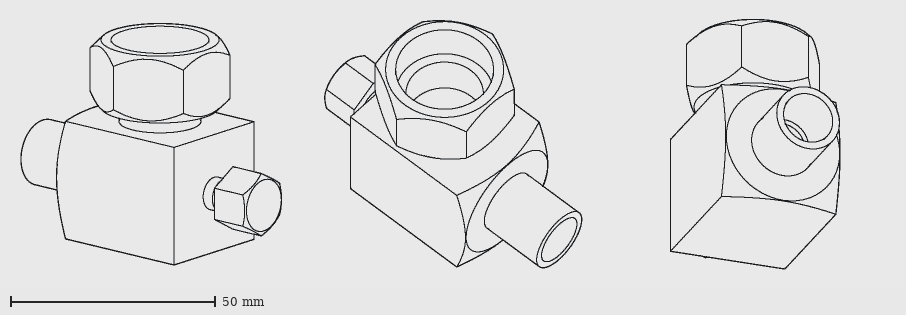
import cadquery as cq
import math


body_side = 30.0
body_length = 38.2
body_left = -20.6
body_right = body_left + body_length
face_diameter = 29.7
face_cone_angle = 25

tube_length = 17.35
tube_diameter = 16.5
tube_bore_diameter = 12.9
tube_bore_end_diameter = 11.3
tube_bore_cone_angle = 45

neck_height = 3.8
neck_diameter = 20.05
nut_height = 17.05
nut_corners = 35.0
nut_face_diameter = 28.95
nut_chamfer_angle = 45
nut_bore_diameter = 24.0
nut_bore_depth = 10
neck_bore_diameter = 19.0

collar_length = 3.0
collar_diameter = 8.25
groove_length = 1.3
groove_diameter = 6.1
flare_length = 1.8
flare_diameter = 8.0
cap_length = 10
cap_across_flats = 13.8
cap_face_diameter = 13.05
cap_chamfer_angle = 30

body_top = body_side / 2
nut_bottom = body_top + neck_height
nut_top = nut_bottom + nut_height
tube_end = body_left - tube_length
collar_end = body_right + collar_length
groove_end = collar_end + groove_length
cap_start = groove_end + flare_length


def turned_blank(end_diameter, outer_diameter, angle, length, both_ends):
    """Round blank along +Z with a conical edge, measured from the end plane, on its first end or on both."""
    end_radius = end_diameter / 2
    outer_radius = outer_diameter / 2
    cone_depth = (outer_radius - end_radius) * math.tan(math.radians(angle))
    outline = [(0, 0), (end_radius, 0), (outer_radius, cone_depth)]
    if both_ends:
        outline += [(outer_radius, length - cone_depth), (end_radius, length)]
    else:
        outline += [(outer_radius, length)]
    outline += [(0, length)]
    return cq.Workplane("XZ").polyline(outline).close().revolve(360, (0, 0), (0, 1))


def make_body():
    block = cq.Workplane("YZ").workplane(offset=body_left).rect(body_side, body_side).extrude(body_length)
    diagonal = body_side * math.sqrt(2)
    envelope = turned_blank(face_diameter, diagonal, face_cone_angle, body_length, False)
    envelope = envelope.rotate((0, 0, 0), (0, 1, 0), 90).translate((body_left, 0, 0))
    return block.intersect(envelope)


def make_tube():
    return cq.Workplane("YZ").workplane(offset=tube_end).circle(tube_diameter / 2).extrude(tube_length)


def make_tube_bore():
    bore_radius = tube_bore_diameter / 2
    floor_radius = tube_bore_end_diameter / 2
    cone_length = (bore_radius - floor_radius) / math.tan(math.radians(tube_bore_cone_angle))
    outline = [
        (tube_end, 0),
        (tube_end, bore_radius),
        (body_left - cone_length, bore_radius),
        (body_left, floor_radius),
        (body_left, 0),
    ]
    return cq.Workplane("XY").polyline(outline).close().revolve(360, (0, 0), (1, 0))


def make_outlet():
    neck = cq.Workplane("XY").workplane(offset=body_top).circle(neck_diameter / 2).extrude(neck_height)
    hexagon = cq.Workplane("XY").polygon(6, nut_corners).extrude(nut_height)
    hexagon = hexagon.rotate((0, 0, 0), (0, 0, 1), 90)
    envelope = turned_blank(nut_face_diameter, nut_corners, nut_chamfer_angle, nut_height, True)
    nut = hexagon.intersect(envelope).translate((0, 0, nut_bottom))
    top_plane = cq.Workplane("XY").workplane(offset=nut_top)
    nut_bore = top_plane.circle(nut_bore_diameter / 2).extrude(-nut_bore_depth)
    neck_bore = top_plane.circle(neck_bore_diameter / 2).extrude(body_top - nut_top)
    return neck.union(nut).cut(nut_bore).cut(neck_bore)


def make_stem():
    outline = [
        (body_right, 0),
        (body_right, collar_diameter / 2),
        (collar_end, collar_diameter / 2),
        (collar_end, groove_diameter / 2),
        (groove_end, groove_diameter / 2),
        (cap_start, flare_diameter / 2),
        (cap_start, 0),
    ]
    return cq.Workplane("XY").polyline(outline).close().revolve(360, (0, 0), (1, 0))


def make_cap():
    corners = cap_across_flats / math.cos(math.pi / 6)
    hexagon = cq.Workplane("XY").polygon(6, corners).extrude(cap_length)
    envelope = turned_blank(cap_face_diameter, corners, cap_chamfer_angle, cap_length, False)
    cap = hexagon.intersect(envelope)
    return cap.rotate((0, 0, 0), (0, 1, 0), -90).translate((cap_start + cap_length, 0, 0))


result = (
    make_body()
    .union(make_tube())
    .cut(make_tube_bore())
    .union(make_outlet())
    .union(make_stem())
    .union(make_cap())
)